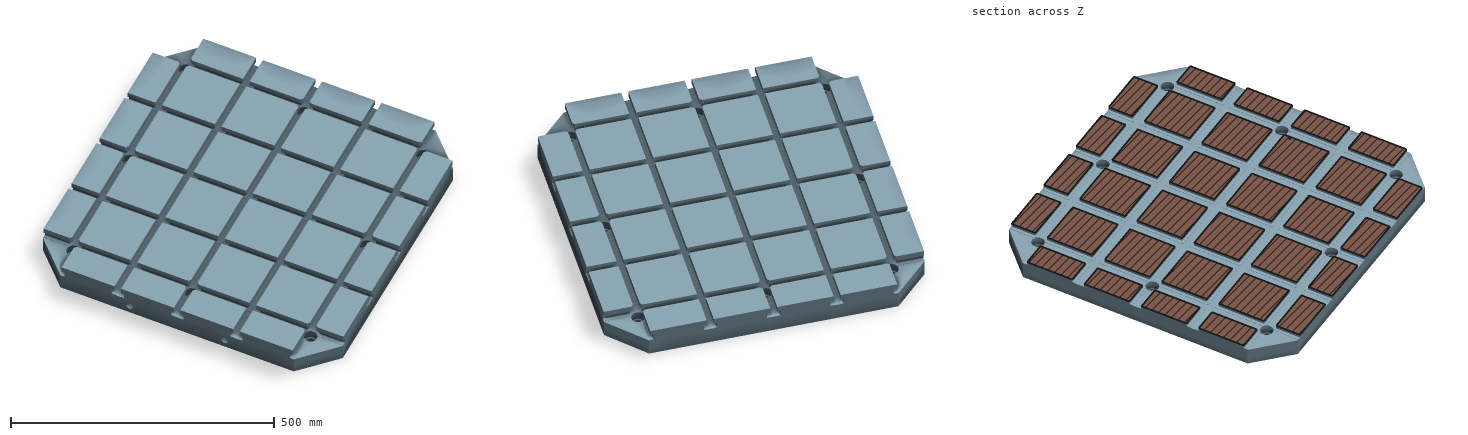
import cadquery as cq
import math

side = 630.0
thickness = 60.0
corner_cut = 70.0

pitch = 125.0
slot_steps = (-2, -1, 0, 1, 2)
neck_width = 14.0
neck_depth = 12.0
tee_width = 26.0
tee_height = 12.0
groove_width = 12.5
groove_depth = 0.5

bolt_diameter = 18.0
counterbore_diameter = 26.0
counterbore_depth = 17.0

side_hole_diameter = 14.0
side_hole_spacing = 200.0
side_hole_height = 17.5
side_hole_depth = 25.0
drill_point_angle = 118.0

half = side / 2
tee_floor = thickness - neck_depth - tee_height
groove_floor = tee_floor - groove_depth
outer_slot = max(slot_steps) * pitch
corner_wall = outer_slot - groove_width / 2
corner_pocket_side = half - corner_wall


def make_plate():
    plate = cq.Workplane("XY").box(side, side, thickness, centered=(True, True, False))
    return plate.edges("|Z").chamfer(corner_cut)


def make_slot():
    """T-slot with a shallow floor groove, running along Y through the middle of the plate."""

    def strip(width, bottom, height):
        plane = cq.Workplane("XY", origin=(0, 0, bottom))
        return plane.box(width, side, height, centered=(True, True, False))

    neck = strip(neck_width, tee_floor, thickness - tee_floor)
    tee = strip(tee_width, tee_floor, tee_height)
    groove = strip(groove_width, groove_floor, thickness - groove_floor)
    return neck.union(tee).union(groove)


def cut_slots(body):
    slot = make_slot()
    for step in slot_steps:
        along_y = slot.translate((step * pitch, 0, 0))
        along_x = along_y.rotate((0, 0, 0), (0, 0, 1), 90)
        body = body.cut(along_y).cut(along_x)
    return body


def lower_corners(body):
    """Clear each corner outside the outer slots down to the groove floor."""
    corner_middle = (corner_wall + half) / 2
    pockets = (
        cq.Workplane("XY", origin=(0, 0, groove_floor))
        .rect(2 * corner_middle, 2 * corner_middle, forConstruction=True)
        .vertices()
        .rect(corner_pocket_side, corner_pocket_side)
        .extrude(thickness - groove_floor)
    )
    return body.cut(pockets)


def cut_bolt_holes(body):
    places = (-outer_slot, 0, outer_slot)
    centres = [(x, y) for x in places for y in places if (x, y) != (0, 0)]
    counterbore_floor = groove_floor - counterbore_depth
    bores = cq.Workplane("XY").pushPoints(centres).circle(bolt_diameter / 2).extrude(thickness)
    seats = (
        cq.Workplane("XY", origin=(0, 0, counterbore_floor))
        .pushPoints(centres)
        .circle(counterbore_diameter / 2)
        .extrude(thickness - counterbore_floor)
    )
    return body.cut(bores).cut(seats)


def cut_side_holes(body):
    """Blind drilled holes running along +Y, each ending in a drill point."""
    radius = side_hole_diameter / 2
    point_length = radius / math.tan(math.radians(drill_point_angle / 2))
    drill = (
        cq.Workplane("XY")
        .lineTo(radius, 0)
        .lineTo(radius, side_hole_depth)
        .lineTo(0, side_hole_depth + point_length)
        .close()
        .revolve(360, (0, 0, 0), (0, 1, 0))
    )
    for x in (-side_hole_spacing / 2, side_hole_spacing / 2):
        body = body.cut(drill.translate((x, -half, side_hole_height)))
    return body


plate = make_plate()
plate = cut_slots(plate)
plate = lower_corners(plate)
plate = cut_bolt_holes(plate)
result = cut_side_holes(plate)